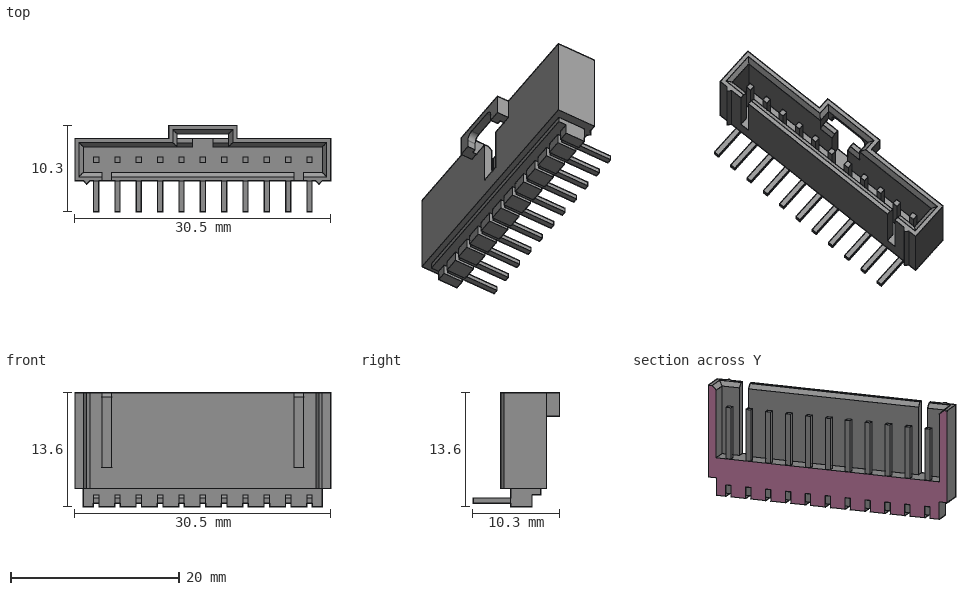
import cadquery as cq


PITCH = 2.54
PIN_COUNT = 11
PIN_SIZE = 0.64
PIN_MATING_LENGTH = 6.35
TAIL_REACH = 6.22
TAIL_TOP_Z = -1.1
BEND_CHAMFER = 0.4

HOUSING_LENGTH = 30.48
HOUSING_DEPTH = 5.08
HOUSING_HEIGHT = 11.43
CAVITY_DEPTH = 8.89
RIM_THICKNESS = 0.5
LEAD_IN = 0.52
WALL_THICKNESS = RIM_THICKNESS + LEAD_IN

LOOP_LENGTH = 8.14
LOOP_PROJECTION = 1.53
LOOP_HEIGHT = 2.83
ARCH_WIDTH = 5.08
ARCH_TOP_DEPTH = 0.93
ARCH_RADIUS = 0.85
SILL_LEDGE = 0.56
BACK_SLOT_WIDTH = 2.42

FRONT_SLOT_WIDTH = 1.14
FRONT_SLOT_X = (PIN_COUNT / 2 - 1) * PITCH
RIDGE_X = 13.82
RIDGE_HALF_WIDTH = 0.37
RIDGE_PROJECTION = 0.4

FOOT_LENGTH = 28.46
FOOT_FRONT_Y = -1.75
FOOT_BACK_Y = 1.84
FOOT_STEP_Y = 0.82
FOOT_STEP_HEIGHT = 0.73
FOOT_HEIGHT = 2.16

BACK_Y = HOUSING_DEPTH / 2
FRONT_Y = -BACK_Y
LOOP_BACK_Y = BACK_Y + LOOP_PROJECTION
FLOOR_Z = HOUSING_HEIGHT - CAVITY_DEPTH
SILL_Z = HOUSING_HEIGHT - LOOP_HEIGHT
SILL_CHAMFER = WALL_THICKNESS - SILL_LEDGE
PIN_HALF = PIN_SIZE / 2
PIN_XS = [(i - (PIN_COUNT - 1) / 2) * PITCH for i in range(PIN_COUNT)]


def block(length, y_min, y_max, z_min, z_max, x_center=0.0):
    """Box of the given X length, centred on x_center, between Y and Z limits."""
    size_y = y_max - y_min
    size_z = z_max - z_min
    center = (x_center, (y_min + y_max) / 2, (z_min + z_max) / 2)
    return cq.Workplane("XY").box(length, size_y, size_z).translate(center)


def side_profile(points, length, x_center=0.0):
    """Extrude a closed (Y, Z) outline along X, centred on x_center."""
    outline = cq.Workplane("YZ").polyline(points).close()
    return outline.extrude(length / 2, both=True).translate((x_center, 0, 0))


def cavity_outline(wall, z):
    """Outline of the opening, inset from the housing and the latch loop by one wall."""
    half_length = HOUSING_LENGTH / 2 - wall
    loop_half = LOOP_LENGTH / 2 - wall
    points = [
        (-half_length, FRONT_Y + wall),
        (half_length, FRONT_Y + wall),
        (half_length, BACK_Y - wall),
        (loop_half, BACK_Y - wall),
        (loop_half, LOOP_BACK_Y - wall),
        (-loop_half, LOOP_BACK_Y - wall),
        (-loop_half, BACK_Y - wall),
        (-half_length, BACK_Y - wall),
    ]
    return cq.Workplane("XY").workplane(offset=z).polyline(points).close()


def lead_in_cut():
    """Tapered mouth around the rim of the cavity and the latch loop."""
    wide = cavity_outline(RIM_THICKNESS, HOUSING_HEIGHT).wires().val()
    narrow = cavity_outline(WALL_THICKNESS, HOUSING_HEIGHT - LEAD_IN).wires().val()
    return cq.Workplane(cq.Solid.makeLoft([narrow, wide], True))


def housing_shell():
    """Open-topped housing with the latch loop and the tapered cavity mouth."""
    body = block(HOUSING_LENGTH, FRONT_Y, BACK_Y, 0, HOUSING_HEIGHT)
    loop_bottom = HOUSING_HEIGHT - LOOP_HEIGHT
    loop = block(LOOP_LENGTH, BACK_Y, LOOP_BACK_Y, loop_bottom, HOUSING_HEIGHT)
    main_cavity = block(
        HOUSING_LENGTH - 2 * WALL_THICKNESS,
        FRONT_Y + WALL_THICKNESS,
        BACK_Y - WALL_THICKNESS,
        FLOOR_Z,
        HOUSING_HEIGHT,
    )
    return body.union(loop).cut(main_cavity).cut(lead_in_cut())


def loop_opening():
    """Space inside the latch loop, down to the chamfered sill left in the back wall."""
    sill_front_y = BACK_Y - WALL_THICKNESS
    loop_inner_y = LOOP_BACK_Y - WALL_THICKNESS
    points = [
        (sill_front_y, HOUSING_HEIGHT),
        (loop_inner_y, HOUSING_HEIGHT),
        (loop_inner_y, 0),
        (BACK_Y, 0),
        (BACK_Y, SILL_Z),
        (BACK_Y - SILL_LEDGE, SILL_Z),
        (sill_front_y, SILL_Z - SILL_CHAMFER),
    ]
    return side_profile(points, LOOP_LENGTH - 2 * WALL_THICKNESS)


def loop_arch():
    """Round-cornered notch through the rear of the latch loop, open at the bottom."""
    arch_top = HOUSING_HEIGHT - ARCH_TOP_DEPTH
    arch = block(ARCH_WIDTH, BACK_Y, LOOP_BACK_Y, 0, arch_top)
    return arch.edges("|Y and >Z").fillet(ARCH_RADIUS)


def back_slot():
    """Gap in the back wall from the cavity floor up to the sill."""
    return block(BACK_SLOT_WIDTH, 0, BACK_Y, FLOOR_Z, SILL_Z)


def front_slot(x):
    """Slot through the front wall from the rim down to the cavity floor."""
    return block(FRONT_SLOT_WIDTH, FRONT_Y, 0, FLOOR_Z, HOUSING_HEIGHT, x)


def ridge(x):
    """Triangular rib running the full height of the front wall."""
    points = [
        (x - RIDGE_HALF_WIDTH, FRONT_Y),
        (x, FRONT_Y - RIDGE_PROJECTION),
        (x + RIDGE_HALF_WIDTH, FRONT_Y),
    ]
    return cq.Workplane("XY").polyline(points).close().extrude(HOUSING_HEIGHT)


def foot():
    """Stepped foot with one open channel per pin."""
    points = [
        (FOOT_FRONT_Y, 0),
        (FOOT_BACK_Y, 0),
        (FOOT_BACK_Y, -FOOT_STEP_HEIGHT),
        (FOOT_STEP_Y, -FOOT_STEP_HEIGHT),
        (FOOT_STEP_Y, -FOOT_HEIGHT),
        (FOOT_FRONT_Y, -FOOT_HEIGHT),
    ]
    stepped = side_profile(points, FOOT_LENGTH)
    for x in PIN_XS:
        channel = block(PIN_SIZE, FOOT_FRONT_Y, FOOT_STEP_Y, -FOOT_HEIGHT, -FOOT_STEP_HEIGHT, x)
        stepped = stepped.cut(channel)
    return stepped


def pin(x):
    """Square pin, bent forward below the housing with a bevelled inner corner."""
    tip_z = FLOOR_Z + PIN_MATING_LENGTH
    tail_bottom = TAIL_TOP_Z - PIN_SIZE
    points = [
        (-PIN_HALF, tip_z),
        (PIN_HALF, tip_z),
        (PIN_HALF, tail_bottom),
        (-TAIL_REACH, tail_bottom),
        (-TAIL_REACH, TAIL_TOP_Z),
        (-PIN_HALF - BEND_CHAMFER, TAIL_TOP_Z),
        (-PIN_HALF, TAIL_TOP_Z + BEND_CHAMFER),
    ]
    return side_profile(points, PIN_SIZE, x)


part = housing_shell().cut(loop_opening()).cut(loop_arch()).cut(back_slot())
for side in (-1, 1):
    part = part.cut(front_slot(side * FRONT_SLOT_X))
    part = part.union(ridge(side * RIDGE_X))
part = part.union(foot())
for pin_x in PIN_XS:
    part = part.union(pin(pin_x))

result = part